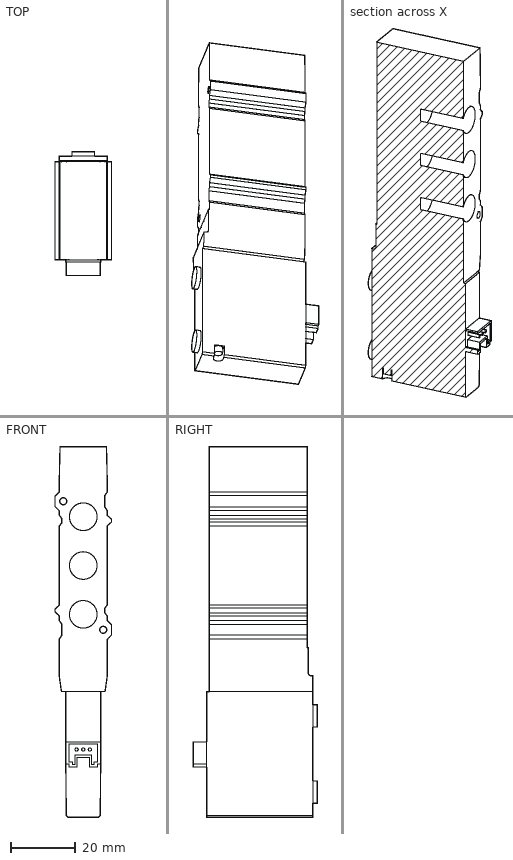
import cadquery as cq

BODY_WIDTH = 15.0
BODY_DEPTH = 30.5
TOP_Z = 115.1
BODY_BOTTOM_Z = 39.1
TOP_TAPER_Z = 103.9
TOP_HALF_WIDTH = 7.25
FOOT_TAPER_Z = 44.0
FOOT_HALF_WIDTH = 6.8

MIDDLE_Z = 78.2
SIDE_HALF_WIDTH = BODY_WIDTH / 2
RIB_HALF_WIDTH = 8.8
GROOVE_DEPTH = 0.75
GROOVE_HALF_WIDTH = SIDE_HALF_WIDTH - GROOVE_DEPTH
WIDE_OFFSET = 19.95
WIDE_RIB_BASE, WIDE_RIB_TIP = 5.8, 3.2
WIDE_GROOVE_BASE, WIDE_GROOVE_TIP = 5.8, 3.7
NARROW_OFFSET = 13.95
NARROW_RIB_BASE, NARROW_RIB_TIP = 3.2, 0.9
NARROW_GROOVE_BASE, NARROW_GROOVE_TIP = 3.5, 1.5

PORT_DIAMETER = 8.57
PORT_RIM_DIAMETER = 9.8
PORT_CHAMFER_DEPTH = 0.2
PORT_DEPTH = 15.0
PORT_PITCH = 15.15
MOUNT_DIAMETER = 2.1
MOUNT_X = 6.2

BACK_STEP_Z = 52.7
BACK_STEP_HEIGHT = 0.3
BACK_STEP_Y = BODY_DEPTH + BACK_STEP_HEIGHT
BACK_FILLET = 0.9
FLANGE_Y = 32.2

BLOCK_WIDTH = 10.9
BLOCK_FOOT_WIDTH = 10.6
BLOCK_TAPER_Z = 15.6
BLOCK_FRONT_Y = -0.75
BLOCK_CHAMFER = 0.6
BUTTON_DIAMETER = 7.0
BUTTON_HEIGHT = 1.4
BUTTON_HEIGHTS_Z = (31.55, 7.85)

OVERALL_DEPTH = 38.5
CONNECTOR_FRONT_Y = FLANGE_Y + BUTTON_HEIGHT - OVERALL_DEPTH
CONNECTOR_LENGTH = BLOCK_FRONT_Y - CONNECTOR_FRONT_Y
CONNECTOR_WIDTH = 10.6
CONNECTOR_TOP_Z = 23.5
SHOULDER_Z = 16.55
CONNECTOR_BOTTOM_Z = BLOCK_TAPER_Z
LEG_OUTER_X = 4.4
LEG_INNER_X = 1.95
ARCH_Z = 18.65
CAVITY_X = 4.4
CAVITY_TOP_Z = 22.8
CAVITY_SHELF_Z = 17.2
CAVITY_SHELF_X = 3.3
CAVITY_FLOOR_Z = 16.5
CAVITY_INNER_X = 2.6
CAVITY_ARCH_Z = 19.35
PIN_DIAMETER = 1.0
PIN_PITCH = 2.05
PIN_Z = 21.1
PIN_RECESS = 0.3

SLOT_Y = 26.8
SLOT_WIDTH = 3.1
SLOT_TOP_Z = 3.8
SLOT_AXIS_DEPTH = 1.7
SLOT_AXIS_X = -BLOCK_WIDTH / 2 + SLOT_AXIS_DEPTH
OVERRIDE_DIAMETER = 2.8
OVERRIDE_SHOULDER_Z = 2.5
OVERRIDE_TIP_Z = 1.8
OVERRIDE_TIP_DIAMETER = 2.5


def extrude_along_y(outline, start_y, length):
    """Extrude a closed XZ outline from start_y toward +Y."""
    return cq.Workplane("XZ", origin=(0, start_y, 0)).polyline(outline).close().extrude(-length)


def trapezoid(side, center_z, tip_half_width, base, tip):
    """Outline of a rib or groove on the side face at X = side * SIDE_HALF_WIDTH."""
    base_x = side * SIDE_HALF_WIDTH
    tip_x = side * tip_half_width
    return [
        (base_x, center_z - base / 2),
        (tip_x, center_z - tip / 2),
        (tip_x, center_z + tip / 2),
        (base_x, center_z + base / 2),
    ]


def mirrored(right_half):
    """Close a half outline, listed on the +X side, with its mirror image."""
    return right_half + [(-x, z) for x, z in reversed(right_half)]


def make_body():
    outline = mirrored([
        (FOOT_HALF_WIDTH, BODY_BOTTOM_Z),
        (SIDE_HALF_WIDTH, FOOT_TAPER_Z),
        (SIDE_HALF_WIDTH, TOP_TAPER_Z),
        (TOP_HALF_WIDTH, TOP_Z),
    ])
    body = extrude_along_y(outline, 0, FLANGE_Y)
    back_cut = (
        cq.Workplane("YZ", origin=(-BODY_WIDTH, 0, 0))
        .moveTo(BODY_DEPTH, TOP_Z)
        .lineTo(BODY_DEPTH, BACK_STEP_Z)
        .lineTo(BACK_STEP_Y, BACK_STEP_Z)
        .lineTo(BACK_STEP_Y, FOOT_TAPER_Z + BACK_FILLET)
        .radiusArc((BACK_STEP_Y + BACK_FILLET, FOOT_TAPER_Z), -BACK_FILLET)
        .lineTo(FLANGE_Y, FOOT_TAPER_Z)
        .lineTo(FLANGE_Y, TOP_Z)
        .close()
        .extrude(2 * BODY_WIDTH)
    )
    return body.cut(back_cut)


def add_ribs_and_grooves(body):
    for side in (-1, 1):
        wide_rib_z = MIDDLE_Z - side * WIDE_OFFSET
        wide_groove_z = MIDDLE_Z + side * WIDE_OFFSET
        narrow_rib_z = MIDDLE_Z + side * NARROW_OFFSET
        narrow_groove_z = MIDDLE_Z - side * NARROW_OFFSET
        ribs = (
            trapezoid(side, wide_rib_z, RIB_HALF_WIDTH, WIDE_RIB_BASE, WIDE_RIB_TIP),
            trapezoid(side, narrow_rib_z, RIB_HALF_WIDTH, NARROW_RIB_BASE, NARROW_RIB_TIP),
        )
        grooves = (
            trapezoid(side, wide_groove_z, GROOVE_HALF_WIDTH, WIDE_GROOVE_BASE, WIDE_GROOVE_TIP),
            trapezoid(side, narrow_groove_z, GROOVE_HALF_WIDTH, NARROW_GROOVE_BASE, NARROW_GROOVE_TIP),
        )
        for rib in ribs:
            body = body.union(extrude_along_y(rib, 0, BODY_DEPTH))
        for groove in grooves:
            body = body.cut(extrude_along_y(groove, 0, BODY_DEPTH))
    return body


def revolve_about_z(outline):
    """Revolve a closed outline of (radius, height) points about the Z axis."""
    return cq.Workplane("XZ").polyline(outline).close().revolve(360, (0, 0, 0), (0, 1, 0))


def cut_ports(body):
    outline = [
        (0, 0),
        (PORT_RIM_DIAMETER / 2, 0),
        (PORT_DIAMETER / 2, PORT_CHAMFER_DEPTH),
        (PORT_DIAMETER / 2, PORT_DEPTH),
        (0, PORT_DEPTH),
    ]
    port = revolve_about_z(outline).rotate((0, 0, 0), (1, 0, 0), -90)
    for step in (-1, 0, 1):
        body = body.cut(port.translate((0, 0, MIDDLE_Z + step * PORT_PITCH)))
    return body


def cut_mounting_holes(body):
    for side in (-1, 1):
        hole_z = MIDDLE_Z - side * WIDE_OFFSET
        hole = (
            cq.Workplane("XZ")
            .center(side * MOUNT_X, hole_z)
            .circle(MOUNT_DIAMETER / 2)
            .extrude(-BODY_DEPTH)
        )
        body = body.cut(hole)
    return body


def make_pilot_block():
    outline = mirrored([
        (BLOCK_FOOT_WIDTH / 2 - BLOCK_CHAMFER, 0),
        (BLOCK_FOOT_WIDTH / 2, BLOCK_CHAMFER),
        (BLOCK_WIDTH / 2, BLOCK_TAPER_Z),
        (BLOCK_WIDTH / 2, BODY_BOTTOM_Z),
    ])
    block = extrude_along_y(outline, BLOCK_FRONT_Y, FLANGE_Y - BLOCK_FRONT_Y)
    buttons = (
        cq.Workplane("XZ", origin=(0, FLANGE_Y, 0))
        .pushPoints([(0, z) for z in BUTTON_HEIGHTS_Z])
        .circle(BUTTON_DIAMETER / 2)
        .extrude(-BUTTON_HEIGHT)
    )
    return block.union(buttons)


def cut_override_slot(block):
    mouth = cq.Workplane("XY").box(SLOT_AXIS_DEPTH, SLOT_WIDTH, SLOT_TOP_Z, centered=(False, True, False))
    mouth = mouth.translate((-SLOT_AXIS_DEPTH, 0, 0))
    round_end = cq.Workplane("XY").circle(SLOT_WIDTH / 2).extrude(SLOT_TOP_Z)
    pin = revolve_about_z([
        (0, OVERRIDE_TIP_Z),
        (OVERRIDE_TIP_DIAMETER / 2, OVERRIDE_TIP_Z),
        (OVERRIDE_DIAMETER / 2, OVERRIDE_SHOULDER_Z),
        (OVERRIDE_DIAMETER / 2, SLOT_TOP_Z),
        (0, SLOT_TOP_Z),
    ])
    slot = mouth.union(round_end).cut(pin)
    return block.cut(slot.translate((SLOT_AXIS_X, SLOT_Y, 0)))


def make_connector():
    shell_outline = mirrored([
        (LEG_INNER_X, ARCH_Z),
        (LEG_INNER_X, CONNECTOR_BOTTOM_Z),
        (LEG_OUTER_X, CONNECTOR_BOTTOM_Z),
        (LEG_OUTER_X, SHOULDER_Z),
        (CONNECTOR_WIDTH / 2, SHOULDER_Z),
        (CONNECTOR_WIDTH / 2, CONNECTOR_TOP_Z),
    ])
    cavity_outline = mirrored([
        (CAVITY_INNER_X, CAVITY_ARCH_Z),
        (CAVITY_INNER_X, CAVITY_FLOOR_Z),
        (CAVITY_SHELF_X, CAVITY_FLOOR_Z),
        (CAVITY_SHELF_X, CAVITY_SHELF_Z),
        (CAVITY_X, CAVITY_SHELF_Z),
        (CAVITY_X, CAVITY_TOP_Z),
    ])
    shell = extrude_along_y(shell_outline, CONNECTOR_FRONT_Y, CONNECTOR_LENGTH)
    cavity = extrude_along_y(cavity_outline, CONNECTOR_FRONT_Y, CONNECTOR_LENGTH)
    pins = (
        cq.Workplane("XZ", origin=(0, BLOCK_FRONT_Y, 0))
        .pushPoints([(step * PIN_PITCH, PIN_Z) for step in (-1, 0, 1)])
        .circle(PIN_DIAMETER / 2)
        .extrude(CONNECTOR_LENGTH - PIN_RECESS)
    )
    return shell.cut(cavity).union(pins)


valve_body = cut_mounting_holes(cut_ports(add_ribs_and_grooves(make_body())))
pilot_block = cut_override_slot(make_pilot_block())
result = valve_body.union(pilot_block).union(make_connector())